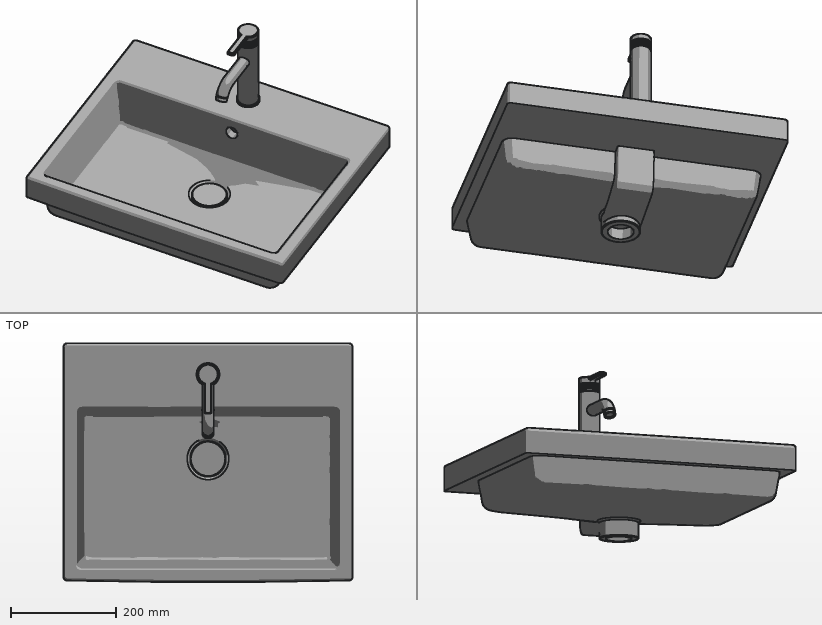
import cadquery as cq
import math


WIDTH = 550.5
CORNER_DEPTH = 452.0
FRONT_BOW = 3.5
RIM_HEIGHT = 50.0
RIM_ROUND = 7.0

FLOOR_Z = -93.5
FLOOR_HALF_WIDTH = 234.5
FLOOR_BACK = -135.0
FLOOR_FRONT = -412.5
MOUTH_HALF_WIDTH = 250.0
MOUTH_BACK = -124.0
MOUTH_FRONT = -429.0
CAVITY_ROUND = 9.0
MOUTH_ROUND = 6.0
SUMP_Z = -113.5

BACK_BREAK = 0.79
FRONT_BREAK = 0.69
SIDE_BACK_BREAK = 0.64
SIDE_FRONT_BREAK = 0.75

SHELL_TOP_HALF_WIDTH = 254.0
SHELL_TOP_BACK = -117.0
SHELL_TOP_FRONT = -432.5
SHELL_EDGE_Z = -105.5
SHELL_EDGE_HALF_WIDTH = 245.5
SHELL_EDGE_BACK = -123.5
SHELL_EDGE_FRONT = -425.5
SHELL_BOTTOM_Z = -126.5
SHELL_ROUND = 20.5

DRAIN_Y = -220.0
PIPE_RADIUS = 37.5
PIPE_BOTTOM_Z = -161.5
PIPE_CHAMFER = 1.5
SUMP_RADIUS = 39.5
NECK_RADIUS = 41.5
SEAT_RADIUS = 34.0
LIP_DROP = 3.5
SEAT_Z = -121.0
BORE_RADIUS = 25.0
PLUG_RADIUS = 32.5
PLUG_EDGE_HEIGHT = 6.5
PLUG_DOME = 3.0
PLUG_STEM = 16.5
OVERFLOW_RADIUS = 12.0
OVERFLOW_Z = -31.0
OVERFLOW_DEPTH = 27.5
OVERFLOW_END_Y = -110.0
CHANNEL_HALF_WIDTH = 36.0
CHANNEL_TOP_BACK = -96.0
CHANNEL_LOW_BACK = -103.5
CHANNEL_BEND_Z = -137.0
CHANNEL_END_Z = -154.0
CHANNEL_OVERLAP = 4.5
CHANNEL_ROUND = 3.0
CHANNEL_BEND_ROUND = 19.0

FAUCET_Y = -59.5
COLUMN_RADIUS = 20.1
COLUMN_TOP_Z = 163.0
FLANGE_RADIUS = 22.0
FLANGE_HEIGHT = 4.0
GROOVE_ZS = (147.5, 152.0, 156.0, 159.5)
GROOVE_WIDTH = 1.0
GROOVE_DEPTH = 0.8
SPOUT_RADIUS = 11.3
SPOUT_Z = 111.0
SPOUT_STRAIGHT = 79.0
SPOUT_BEND_RADIUS = 32.5
SPOUT_BEND_ANGLE = 62.0
AERATOR_NECK_RADIUS = 9.5
AERATOR_NECK_LENGTH = 1.5
AERATOR_RADIUS = 11.0
AERATOR_LENGTH = 7.0
AERATOR_RECESS_RADIUS = 8.0
AERATOR_RECESS = 1.5

LEVER_TOP_Z = 176.0
CAP_TOP_CHAMFER = 1.9
CAP_BOTTOM_CHAMFER = 1.0
LEVER_REACH = 75.0
LEVER_WIDTH = 15.0
LEVER_THICKNESS = 7.0
LEVER_TIP_ROUND = 4.5
LEVER_EDGE_CHAMFER = 2.0
LEVER_ROOT_ROUND = 2.0

TOLERANCE = 0.05


def cylinder(radius, y, z_bottom, z_top):
    """Upright cylinder on the symmetry plane."""
    return cq.Workplane("XY", origin=(0, y, z_bottom)).circle(radius).extrude(z_top - z_bottom)


def box_around(low, high):
    """Selector for edges that lie wholly between two corner points."""
    return cq.selectors.BoxSelector(
        tuple(v - TOLERANCE for v in low), tuple(v + TOLERANCE for v in high), boundingbox=True)


def rectangle_wire(half_width, back, front, z):
    corners = [(-half_width, back), (half_width, back), (half_width, front), (-half_width, front)]
    return cq.Wire.makePolygon([cq.Vector(x, y, z) for x, y in corners], close=True)


def floor_funnel(half_width, back, front, edge_z, drain_radius, drain_z):
    """Ruled body that narrows from a rectangle to the round drain."""
    back_break = BACK_BREAK * half_width
    front_break = FRONT_BREAK * half_width
    side_back = DRAIN_Y + SIDE_BACK_BREAK * (back - DRAIN_Y)
    side_front = DRAIN_Y + SIDE_FRONT_BREAK * (front - DRAIN_Y)
    right_half = [
        ((0, back), 90),
        ((back_break, back), 36),
        ((half_width, back), 25),
        ((half_width, side_back), 15),
        ((half_width, DRAIN_Y), 0),
        ((half_width, side_front), -32),
        ((half_width, front), -42),
        ((front_break, front), -52),
        ((0, front), -90),
    ]
    left_half = [((-x, y), 180 - angle) for (x, y), angle in reversed(right_half[1:-1])]
    breaks = right_half + left_half

    def drain_point(angle):
        turn = math.radians(angle)
        return cq.Vector(drain_radius * math.cos(turn), DRAIN_Y + drain_radius * math.sin(turn), drain_z)

    arcs = []
    for i, (_, start) in enumerate(breaks):
        end = breaks[(i + 1) % len(breaks)][1]
        sweep = (start - end) % 360
        arcs.append(cq.Edge.makeThreePointArc(
            drain_point(start), drain_point(start - sweep / 2), drain_point(end)))
    outline = cq.Wire.makePolygon([cq.Vector(x, y, edge_z) for (x, y), _ in breaks], close=True)
    return cq.Solid.makeLoft([outline, cq.Wire.assembleEdges(arcs)], True)


def bowl_form(top, edge, drain, edge_round):
    """Tapered tub with a funnel floor; its corners and floor edges share one round.

    top and edge are (half width, back, front, z); drain is (radius, z).
    """
    top_z = top[3]
    edge_z = edge[3]
    walls = cq.Solid.makeLoft([rectangle_wire(*top), rectangle_wire(*edge)], True)
    form = cq.Workplane(walls).union(cq.Workplane(floor_funnel(*edge, *drain)))

    def lowest(line):
        return min(line.startPoint().z, line.endPoint().z)

    wall_and_floor_edges = [
        line for line in form.edges().vals() if edge_z - TOLERANCE < lowest(line) < top_z - TOLERANCE
    ]
    return form.newObject(wall_and_floor_edges).fillet(edge_round)


def rim():
    """Slab with a slightly bowed front edge."""
    half = WIDTH / 2
    slab = (
        cq.Workplane("XY", origin=(0, 0, -RIM_HEIGHT))
        .moveTo(-half, 0)
        .lineTo(half, 0)
        .lineTo(half, -CORNER_DEPTH)
        .threePointArc((0, -CORNER_DEPTH - FRONT_BOW), (-half, -CORNER_DEPTH))
        .close()
        .extrude(RIM_HEIGHT)
    )
    return slab.edges("|Z").fillet(RIM_ROUND).faces(">Z").edges().fillet(RIM_ROUND)


def shell():
    """Outside of the bowl under the rim, with the drain pipe and its flared neck."""
    bowl = bowl_form(
        (SHELL_TOP_HALF_WIDTH, SHELL_TOP_BACK, SHELL_TOP_FRONT, -RIM_HEIGHT),
        (SHELL_EDGE_HALF_WIDTH, SHELL_EDGE_BACK, SHELL_EDGE_FRONT, SHELL_EDGE_Z),
        (NECK_RADIUS, SHELL_BOTTOM_Z), SHELL_ROUND)
    pipe = cylinder(PIPE_RADIUS, DRAIN_Y, PIPE_BOTTOM_Z, SHELL_BOTTOM_Z).faces("<Z").chamfer(PIPE_CHAMFER)
    flare = NECK_RADIUS - PIPE_RADIUS
    neck = cq.Workplane(cq.Solid.makeCone(
        PIPE_RADIUS, NECK_RADIUS, flare, pnt=cq.Vector(0, DRAIN_Y, SHELL_BOTTOM_Z - flare)))
    return bowl.union(pipe).union(neck)


def overflow_channel():
    """Boxed-in channel that runs down the back of the bowl and forward to the drain pipe."""
    channel = (
        cq.Workplane("YZ", origin=(-CHANNEL_HALF_WIDTH, 0, 0))
        .polyline([
            (CHANNEL_TOP_BACK, -RIM_HEIGHT),
            (CHANNEL_LOW_BACK, CHANNEL_BEND_Z),
            (DRAIN_Y, CHANNEL_END_Z),
            (DRAIN_Y, FLOOR_Z - CHANNEL_OVERLAP),
            (SHELL_EDGE_BACK - CHANNEL_OVERLAP, -RIM_HEIGHT),
        ])
        .close()
        .extrude(2 * CHANNEL_HALF_WIDTH)
    )
    bend = cq.selectors.NearestToPointSelector((0, CHANNEL_LOW_BACK, CHANNEL_BEND_Z))
    channel = channel.edges(bend).fillet(CHANNEL_BEND_ROUND)
    return channel.faces(">Y").edges("not |X").fillet(CHANNEL_ROUND)


def make_basin():
    basin = rim().union(shell()).union(overflow_channel())
    cavity = bowl_form(
        (MOUTH_HALF_WIDTH, MOUTH_BACK, MOUTH_FRONT, 0),
        (FLOOR_HALF_WIDTH, FLOOR_BACK, FLOOR_FRONT, FLOOR_Z),
        (SUMP_RADIUS, SUMP_Z), CAVITY_ROUND)
    basin = basin.cut(cavity)
    basin = basin.edges(box_around(
        (-MOUTH_HALF_WIDTH, MOUTH_FRONT, 0), (MOUTH_HALF_WIDTH, MOUTH_BACK, 0))).fillet(MOUTH_ROUND)

    lip = cq.Workplane(cq.Solid.makeCone(
        SEAT_RADIUS, SUMP_RADIUS, LIP_DROP, pnt=cq.Vector(0, DRAIN_Y, SUMP_Z - LIP_DROP)))
    seat = cylinder(SEAT_RADIUS, DRAIN_Y, SEAT_Z, SUMP_Z)
    bore = cylinder(BORE_RADIUS, DRAIN_Y, PIPE_BOTTOM_Z, SUMP_Z)
    overflow = cq.Workplane("XZ", origin=(0, OVERFLOW_END_Y, OVERFLOW_Z)).circle(
        OVERFLOW_RADIUS).extrude(OVERFLOW_DEPTH)
    return basin.cut(lip).cut(seat).cut(bore).cut(overflow)


def make_plug():
    """Domed plug whose stem fills the top of the drain bore."""
    edge_z = SEAT_Z + PLUG_EDGE_HEIGHT
    dome_radius = (PLUG_RADIUS ** 2 + PLUG_DOME ** 2) / (2 * PLUG_DOME)
    profile = (
        cq.Workplane("XZ", origin=(0, DRAIN_Y, 0))
        .moveTo(0, SEAT_Z - PLUG_STEM)
        .lineTo(BORE_RADIUS, SEAT_Z - PLUG_STEM)
        .lineTo(BORE_RADIUS, SEAT_Z)
        .lineTo(PLUG_RADIUS, SEAT_Z)
        .lineTo(PLUG_RADIUS, edge_z)
        .radiusArc((0, edge_z + PLUG_DOME), -dome_radius)
        .close()
    )
    return profile.revolve(360, (0, 0, 0), (0, 1, 0))


def spout_end():
    """Workplane on the end of the spout's bend, its normal pointing out of the spout."""
    turn = math.radians(SPOUT_BEND_ANGLE)
    return cq.Workplane(cq.Plane(
        origin=(0,
                FAUCET_Y - SPOUT_STRAIGHT - SPOUT_BEND_RADIUS * math.sin(turn),
                SPOUT_Z - SPOUT_BEND_RADIUS * (1 - math.cos(turn))),
        xDir=(1, 0, 0),
        normal=(0, -math.cos(turn), -math.sin(turn))))


def make_faucet():
    column = cylinder(COLUMN_RADIUS, FAUCET_Y, 0, COLUMN_TOP_Z)
    flange = cylinder(FLANGE_RADIUS, FAUCET_Y, 0, FLANGE_HEIGHT)
    for z in GROOVE_ZS:
        groove = cylinder(COLUMN_RADIUS, FAUCET_Y, z, z + GROOVE_WIDTH).cut(
            cylinder(COLUMN_RADIUS - GROOVE_DEPTH, FAUCET_Y, z, z + GROOVE_WIDTH))
        column = column.cut(groove)

    straight = cq.Workplane("XZ", origin=(0, FAUCET_Y, SPOUT_Z)).circle(SPOUT_RADIUS).extrude(SPOUT_STRAIGHT)
    bend = (
        cq.Workplane("XZ", origin=(0, FAUCET_Y - SPOUT_STRAIGHT, SPOUT_Z))
        .circle(SPOUT_RADIUS)
        .revolve(SPOUT_BEND_ANGLE, (0, -SPOUT_BEND_RADIUS, 0), (1, -SPOUT_BEND_RADIUS, 0))
    )
    return column.union(flange).union(straight).union(bend)


def make_aerator():
    neck = spout_end().circle(AERATOR_NECK_RADIUS).extrude(AERATOR_NECK_LENGTH)
    ring = (
        spout_end().workplane(offset=AERATOR_NECK_LENGTH)
        .circle(AERATOR_RADIUS).extrude(AERATOR_LENGTH)
    )
    recess = (
        spout_end().workplane(offset=AERATOR_NECK_LENGTH + AERATOR_LENGTH - AERATOR_RECESS)
        .circle(AERATOR_RECESS_RADIUS).extrude(AERATOR_RECESS)
    )
    return neck.union(ring).cut(recess)


def make_lever():
    """Round cap on the column with a flat handle reaching forward, flush with its top."""
    cap = (
        cylinder(COLUMN_RADIUS, FAUCET_Y, COLUMN_TOP_Z, LEVER_TOP_Z)
        .faces(">Z").chamfer(CAP_TOP_CHAMFER)
        .faces("<Z").chamfer(CAP_BOTTOM_CHAMFER)
    )
    handle = (
        cq.Workplane("XY", origin=(0, FAUCET_Y - LEVER_REACH / 2, LEVER_TOP_Z - LEVER_THICKNESS))
        .rect(LEVER_WIDTH, LEVER_REACH)
        .extrude(LEVER_THICKNESS)
        .edges("|Z and <Y").fillet(LEVER_TIP_ROUND)
        .faces(">Z or <Z").edges("not >Y").chamfer(LEVER_EDGE_CHAMFER)
    )
    lever = cap.union(handle)
    root = box_around(
        (-LEVER_WIDTH / 2, FAUCET_Y - COLUMN_RADIUS, LEVER_TOP_Z - LEVER_THICKNESS),
        (LEVER_WIDTH / 2, FAUCET_Y, LEVER_TOP_Z - LEVER_EDGE_CHAMFER))
    return lever.edges(root).fillet(LEVER_ROOT_ROUND)


basin = make_basin()
plug = make_plug()
faucet = make_faucet()
aerator = make_aerator()
lever = make_lever()
result = cq.Compound.makeCompound([basin.val(), plug.val(), faucet.val(), aerator.val(), lever.val()])